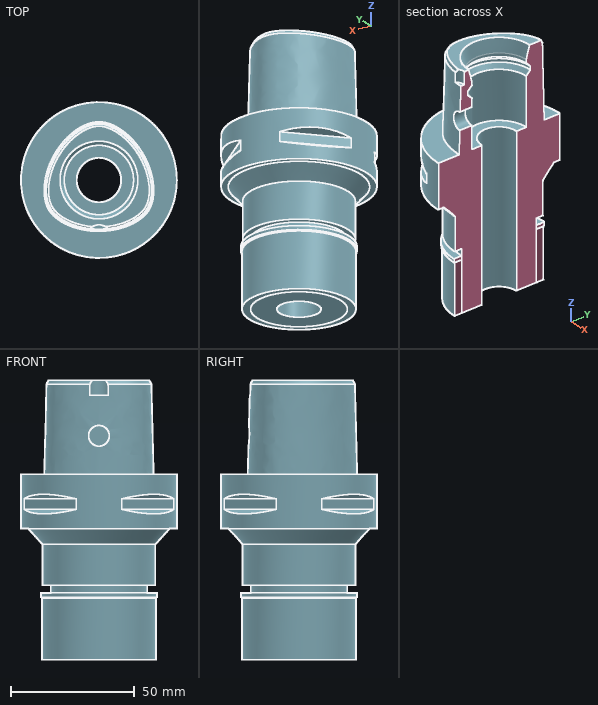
import cadquery as cq
import math

TOP_Z = 113.0
FLANGE_TOP_Z = 75.0
FLANGE_BOTTOM_Z = 53.0
CONE_BOTTOM_Z = 46.7
COLLAR_BOTTOM_Z = 30.2
RING_TOP_Z = 27.1
NUT_TOP_Z = 25.0

FLANGE_R = 31.5
CONE_TOP_R = 28.6
COLLAR_R = 22.8
NECK_R = 19.5
RING_R = 23.5
NUT_R = 23.0
RING_CHAMFER = RING_R - NUT_R

SHANK_MEAN_R = 22.1
LOBE_HEIGHT = 1.4
TAPER_PER_SIDE = 1 / 40
POLYGON_POINTS = 72
TIP_CHAMFER_HEIGHT = 1.6
TIP_CHAMFER_INSET = 0.9

BORE_R = 8.9
SOCKET_R = 14.0
SOCKET_MOUTH_R = 15.7
MOUTH_CONE_DEPTH = 6.2
SOCKET_FLOOR_Z = FLANGE_TOP_Z

GROOVE_R = 16.2
GROOVE_TOP_DEPTH = 8.0
GROOVE_BOTTOM_DEPTH = 14.0
GROOVE_SIDE = GROOVE_R - SOCKET_R

NOTCH_R = 5.1
NOTCH_AXIS_Y = -23.2
NOTCH_DEPTH = 6.1

POCKET_R = 4.2
POCKET_Z = 90.5
POCKET_FLOOR_Y = -14.2

SLOT_COUNT = 4
SLOT_Z = 62.9
SLOT_FLOOR_R = 27.8
SLOT_FLOOR_WIDTH = 4.2
SLOT_MOUTH_WIDTH = 7.9


def lobed_point(mean_r, angle):
    """Point of the lobed polygon whose tangent distance is mean_r + lobe * cos(3 * angle)."""
    lobe = LOBE_HEIGHT * math.cos(3 * angle)
    lobe_slope = -3 * LOBE_HEIGHT * math.sin(3 * angle)
    along = mean_r + lobe
    x = -along * math.sin(angle) - lobe_slope * math.cos(angle)
    y = along * math.cos(angle) - lobe_slope * math.sin(angle)
    return (x, y)


def lobed_wire(mean_r, z):
    """Closed smooth polygon outline at height z, starting on the -Y side."""
    step = 2 * math.pi / POLYGON_POINTS
    points = [lobed_point(mean_r, math.pi + i * step) for i in range(POLYGON_POINTS)]
    return cq.Workplane("XY").workplane(offset=z).spline(points, periodic=True).wire().val()


def revolve_about_z(points):
    """Solid of revolution from (radius, z) points."""
    return cq.Workplane("XZ").polyline(points).close().revolve(360, (0, 0, 0), (0, 1, 0))


def tube(outer_r, inner_r, bottom_z, top_z):
    """Plain ring about the Z axis."""
    profile = cq.Workplane("XY").workplane(offset=bottom_z).circle(outer_r).circle(inner_r)
    return profile.extrude(top_z - bottom_z)


def make_shank():
    """Tapered polygon shank with a chamfered tip."""
    chamfer_z = TOP_Z - TIP_CHAMFER_HEIGHT
    chamfer_r = SHANK_MEAN_R - TAPER_PER_SIDE * (chamfer_z - FLANGE_TOP_Z)
    base = lobed_wire(SHANK_MEAN_R, FLANGE_TOP_Z)
    shoulder = lobed_wire(chamfer_r, chamfer_z)
    tip = lobed_wire(chamfer_r - TIP_CHAMFER_INSET, TOP_Z)
    taper = cq.Workplane(cq.Solid.makeLoft([base, shoulder], True))
    return taper.union(cq.Workplane(cq.Solid.makeLoft([shoulder, tip], True)))


def make_flange_and_neck():
    """Flange, cone, collar and the neck that runs down through the ring and the nut."""
    return revolve_about_z([
        (0, FLANGE_TOP_Z),
        (FLANGE_R, FLANGE_TOP_Z),
        (FLANGE_R, FLANGE_BOTTOM_Z),
        (CONE_TOP_R, FLANGE_BOTTOM_Z),
        (COLLAR_R, CONE_BOTTOM_Z),
        (COLLAR_R, COLLAR_BOTTOM_Z),
        (NECK_R, COLLAR_BOTTOM_Z),
        (NECK_R, 0),
        (0, 0),
    ])


def bore_cutter():
    """Through bore with the stepped, grooved socket at the shank end."""
    groove_top = TOP_Z - GROOVE_TOP_DEPTH
    groove_bottom = TOP_Z - GROOVE_BOTTOM_DEPTH
    return revolve_about_z([
        (0, TOP_Z),
        (SOCKET_MOUTH_R, TOP_Z),
        (SOCKET_R, TOP_Z - MOUTH_CONE_DEPTH),
        (SOCKET_R, groove_top),
        (GROOVE_R, groove_top - GROOVE_SIDE),
        (GROOVE_R, groove_bottom + GROOVE_SIDE),
        (SOCKET_R, groove_bottom),
        (SOCKET_R, SOCKET_FLOOR_Z),
        (BORE_R, SOCKET_FLOOR_Z),
        (BORE_R, 0),
        (0, 0),
    ])


def notch_cutter():
    """Upright round notch at the shank tip."""
    floor = cq.Workplane("XY").workplane(offset=TOP_Z - NOTCH_DEPTH)
    return floor.center(0, NOTCH_AXIS_Y).circle(NOTCH_R).extrude(NOTCH_DEPTH)


def pocket_cutter():
    """Round pocket that opens toward -Y."""
    floor = cq.Workplane("XZ", origin=(0, POCKET_FLOOR_Y, POCKET_Z))
    return floor.circle(POCKET_R).extrude(FLANGE_R + POCKET_FLOOR_Y)


def slot_cutter(angle):
    """Straight slot with a flat floor and flared sides, facing the given direction in degrees."""
    floor_half = SLOT_FLOOR_WIDTH / 2
    mouth_half = SLOT_MOUTH_WIDTH / 2
    section = cq.Workplane("XZ").polyline([
        (SLOT_FLOOR_R, SLOT_Z - floor_half),
        (FLANGE_R, SLOT_Z - mouth_half),
        (FLANGE_R, SLOT_Z + mouth_half),
        (SLOT_FLOOR_R, SLOT_Z + floor_half),
    ]).close()
    return section.extrude(FLANGE_R, both=True).rotate((0, 0, 0), (0, 0, 1), angle)


def make_holder():
    """Tool holder: shank, flange, collar and neck in one piece."""
    body = make_flange_and_neck().union(make_shank())
    body = body.cut(bore_cutter()).cut(notch_cutter()).cut(pocket_cutter())
    slot_pitch = 360 / SLOT_COUNT
    for i in range(SLOT_COUNT):
        body = body.cut(slot_cutter((i + 0.5) * slot_pitch))
    return body


def make_ring():
    """Thin ring around the neck, chamfered on its lower rim."""
    ring = tube(RING_R, NECK_R, NUT_TOP_Z, RING_TOP_Z)
    return ring.faces("<Z").edges(cq.selectors.RadiusNthSelector(-1)).chamfer(RING_CHAMFER)


def make_nut():
    """Clamping nut: a plain sleeve around the lower end of the neck."""
    return tube(NUT_R, NECK_R, 0, NUT_TOP_Z)


holder = make_holder()
ring = make_ring()
nut = make_nut()

result = cq.Compound.makeCompound([holder.val(), ring.val(), nut.val()])